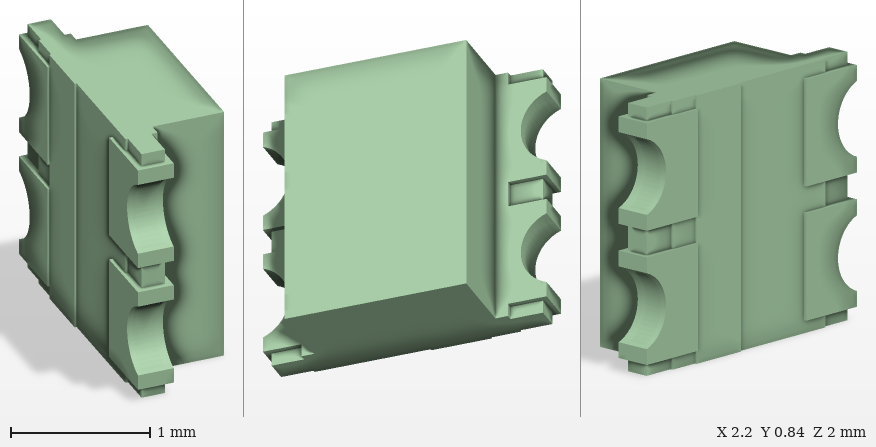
import cadquery as cq

length = 2.2
height = 2.0
depth = 0.84

lens_width = 1.408
lens_depth = 0.44

shoulder_y = 0.28
core_half_width = 0.8
base_y = 0.029

stripe_y = 0.013
stripe_inner_x = -0.1

plating = 0.048
terminal_reach = 0.532
terminal_height = 0.8
terminal_pitch = height / 2

notch_radius = 0.3
notch_offset = 0.1

half_length = length / 2
terminal_inner_x = half_length - terminal_reach
tab_half_width = half_length - plating
tab_front_y = plating
tab_back_y = shoulder_y - plating
lens_front_y = depth - lens_depth
sides = (-1, 1)
terminal_levels = (-terminal_pitch / 2, terminal_pitch / 2)


def block(x_start, x_end, y_start, y_end, block_height, z_center=0):
    """Box between two X places and two Y places, centred in height on z_center."""
    return cq.Workplane("XY").box(
        abs(x_end - x_start), y_end - y_start, block_height
    ).translate(((x_start + x_end) / 2, (y_start + y_end) / 2, z_center))


def notch(side, z_center):
    """Cylinder along Y that forms the round notch at one package end."""
    axis_x = side * (half_length + notch_offset)
    return (
        cq.Workplane("XZ", origin=(axis_x, 0, z_center))
        .circle(notch_radius)
        .extrude(-shoulder_y)
    )


def make_lens():
    return block(-lens_width / 2, lens_width / 2, lens_front_y, depth, height)


def make_board():
    """Stepped board with a thin tab at each end, a stripe and four notches."""
    neck = block(-lens_width / 2, lens_width / 2, shoulder_y, lens_front_y, height)
    core = block(-core_half_width, core_half_width, base_y, shoulder_y, height)
    tabs = block(-tab_half_width, tab_half_width, tab_front_y, tab_back_y, height)
    stripe = block(-terminal_inner_x, stripe_inner_x, stripe_y, base_y, height)
    board = neck.union(core).union(tabs).union(stripe)
    for side in sides:
        for level in terminal_levels:
            board = board.cut(notch(side, level))
    return board


def make_terminal(side, level, board):
    """C-shaped plating around one tab, with a longer pad on the front."""
    end_x = side * half_length
    wrap = block(side * core_half_width, end_x, 0, shoulder_y, terminal_height, level)
    pad = block(side * terminal_inner_x, end_x, 0, base_y, terminal_height, level)
    return wrap.union(pad).cut(notch(side, level)).cut(board)


lens = make_lens()
board = make_board()
terminals = [
    make_terminal(side, level, board).solids().val()
    for side in sides
    for level in terminal_levels
]

result = cq.Compound.makeCompound([lens.val(), board.solids().val(), *terminals])